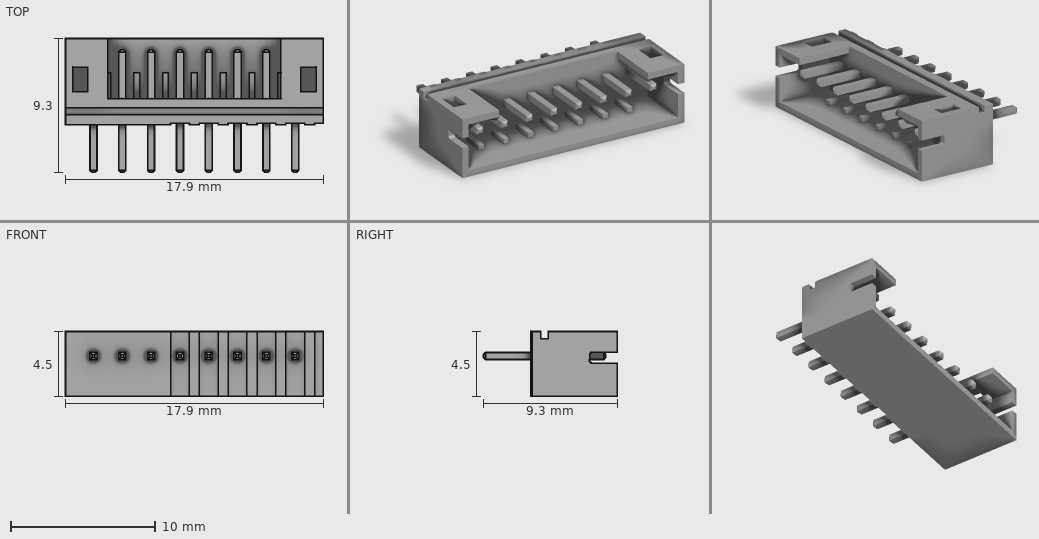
import cadquery as cq

pin_count = 8
pitch = 2.0
end_margin = 1.95
body_depth = 6.0
body_height = 4.5
wall = 0.5
floor_y = 1.8

row_length = (pin_count - 1) * pitch
body_length = row_length + 2 * end_margin
half_length = body_length / 2
inner_half_length = half_length - wall

opening_half_width = (row_length - pitch) / 2

pin_size = 0.5
pin_z = 2.8
tail_length = 3.3
pin_tip_y = 5.2
pin_chamfer = 0.15

slot_depth = 1.93
window_depth = 2.0
window_width = 1.05
window_length = 1.7
slot_bottom = 2.3
slot_top = pin_z + pin_size / 2
slot_chamfer = 0.13

groove_start = 0.7
groove_width = 0.5
groove_depth = 0.5

band_height = 0.1
band_width = 0.7
plain_band_end = -1.65

rib_width = 0.4
rib_height = 0.4
rib_end_y = 3.6


def block(x0, x1, y0, y1, z0, z1):
    """Box spanning the given limits on each axis."""
    return cq.Workplane("XY").box(x1 - x0, y1 - y0, z1 - z0, centered=False).translate((x0, y0, z0))


def midpoints():
    """X positions midway between neighbouring pins."""
    return [(i + 0.5) * pitch - row_length / 2 for i in range(pin_count - 1)]


def make_shell():
    """Housing with its cavity, upper opening and groove; the mounting face is at its recessed level."""
    shell = block(-half_length, half_length, band_height, body_depth, 0, body_height)
    cavity = block(-inner_half_length, inner_half_length, floor_y, body_depth, wall, body_height - wall)
    opening = block(-opening_half_width, opening_half_width, floor_y, body_depth, wall, body_height)
    groove = block(-half_length, half_length, groove_start, groove_start + groove_width,
                   body_height - groove_depth, body_height)
    return shell.cut(cavity).cut(opening).cut(groove)


def add_bands(body):
    """Wide band at the -X end, then narrow bands at every pin gap from the centre to the +X end."""
    body = body.union(block(-half_length, plain_band_end, 0, groove_start, 0, body_height))
    for i in range(pin_count // 2 + 1):
        x = i * pitch
        body = body.union(block(x - band_width / 2, x + band_width / 2, 0, groove_start, 0, body_height))
    return body


def cut_latches(body):
    """Slots open at the mouth in both end walls, and a window beside each end wall."""
    slot_start = body_depth - slot_depth
    window_end = body_depth - window_depth
    slot = (
        block(-half_length, half_length, slot_start, body_depth, slot_bottom, slot_top)
        .edges("|X and <Y")
        .chamfer(slot_chamfer)
    )
    body = body.cut(slot)
    window = block(-inner_half_length, window_width - inner_half_length,
                   window_end - window_length, window_end, body_height - wall, body_height)
    return body.cut(window).cut(window.mirror("YZ"))


def add_ribs(body):
    for x in midpoints():
        rib = block(x - rib_width / 2, x + rib_width / 2, floor_y, rib_end_y, wall, wall + rib_height)
        body = body.union(rib)
    return body


def add_pins(body):
    half = pin_size / 2
    for i in range(pin_count):
        x = i * pitch - row_length / 2
        pin = block(x - half, x + half, -tail_length, pin_tip_y, pin_z - half, pin_z + half)
        body = body.union(pin.faces("<Y or >Y").chamfer(pin_chamfer))
    return body


result = add_pins(add_ribs(cut_latches(add_bands(make_shell()))))